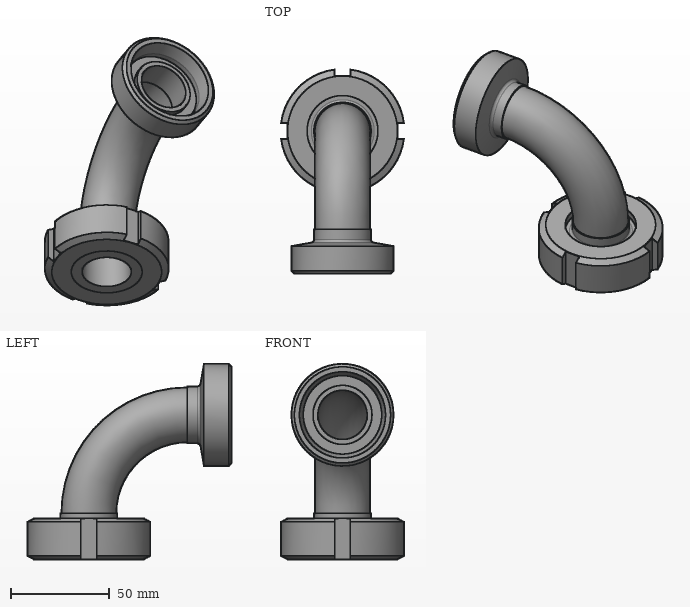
import cadquery as cq
import math

bore_radius = 25.0 / 2
pipe_radius = 28 / 2
bend_radius = 50.0
elbow_base_z = 23.4
outlet_axis_z = elbow_base_z + bend_radius

collar_radius = 29 / 2

nut_radius = 63.0 / 2
nut_height = 21.0
nut_chamfer_height = 1.9
nut_flat_radius = 27.9
nut_hole_radius = 36.0 / 2
slot_count = 4
slot_width = 8.0
slot_floor_radius = 28.0

liner_shoulder_z = 17.2
liner_fillet = 1.5

flange_radius = 52.0 / 2
flange_length = 22.5
flange_rim_length = 14.1
flange_chamfer = 1.6
flange_back_angle = math.radians(10)
flange_fillet = 1.6
seat_mouth_radius = 21.9
seat_radius = 39.8 / 2
seat_cone_depth = 7.0
seat_floor_depth = 10.0
lip_radius = 30.0 / 2


def revolve_profile(points):
    """Revolve an (X, Y) half profile a full turn about the Y axis."""
    return cq.Workplane("XY").polyline(points).close().revolve(360, (0, 0, 0), (0, 1, 0))


def make_nut():
    """Double-chamfered ring with spanner slots along its rim."""
    nut = revolve_profile([
        (nut_hole_radius, 0),
        (nut_flat_radius, 0),
        (nut_radius, nut_chamfer_height),
        (nut_radius, nut_height - nut_chamfer_height),
        (nut_flat_radius, nut_height),
        (nut_hole_radius, nut_height),
    ]).rotate((0, 0, 0), (1, 0, 0), 90)
    slot = cq.Workplane("XY").box(
        nut_radius, slot_width, nut_height, centered=(False, True, False)
    ).translate((slot_floor_radius, 0, 0))
    for index in range(slot_count):
        nut = nut.cut(slot.rotate((0, 0, 0), (0, 0, 1), index * 360 / slot_count))
    return nut


def make_liner():
    """Stepped sleeve filling the nut hole, with a filleted collar that carries the elbow."""
    arc_middle = liner_fillet * (1 - math.sqrt(0.5))
    return (
        cq.Workplane("XZ")
        .moveTo(bore_radius, 0)
        .lineTo(nut_hole_radius, 0)
        .lineTo(nut_hole_radius, liner_shoulder_z)
        .lineTo(collar_radius + liner_fillet, liner_shoulder_z)
        .threePointArc(
            (collar_radius + arc_middle, liner_shoulder_z + arc_middle),
            (collar_radius, liner_shoulder_z + liner_fillet),
        )
        .lineTo(collar_radius, elbow_base_z)
        .lineTo(bore_radius, elbow_base_z)
        .close()
        .revolve(360, (0, 0, 0), (0, 1, 0))
    )


def make_elbow():
    """Quarter-turn pipe from the Z axis to the horizontal outlet axis."""
    return (
        cq.Workplane("XY", origin=(0, 0, elbow_base_z))
        .circle(pipe_radius)
        .circle(bore_radius)
        .revolve(90, (0, -bend_radius, 0), (1, -bend_radius, 0))
    )


def make_flange():
    """Rim with a tapered back, a collar at the elbow and a conical seat around a raised lip."""
    back_end = flange_rim_length + (flange_radius - collar_radius) * math.tan(flange_back_angle)
    flange = revolve_profile([
        (bore_radius, seat_cone_depth),
        (lip_radius, seat_cone_depth),
        (lip_radius, seat_floor_depth),
        (seat_radius, seat_floor_depth),
        (seat_radius, seat_cone_depth),
        (seat_mouth_radius, 0),
        (flange_radius - flange_chamfer, 0),
        (flange_radius, flange_chamfer),
        (flange_radius, flange_rim_length),
        (collar_radius, back_end),
        (collar_radius, flange_length),
        (bore_radius, flange_length),
    ])
    neck_edge = cq.selectors.BoxSelector(
        (-flange_radius, back_end - flange_fillet / 2, -flange_radius),
        (flange_radius, back_end + flange_fillet / 2, flange_radius),
    )
    flange = flange.edges("%CIRCLE").edges(neck_edge).fillet(flange_fillet)
    return flange.translate((0, -bend_radius - flange_length, outlet_axis_z))


nut = make_nut()
liner = make_liner()
elbow = make_elbow()
flange = make_flange()

result = cq.Compound.makeCompound([nut.val(), liner.val(), elbow.val(), flange.val()])